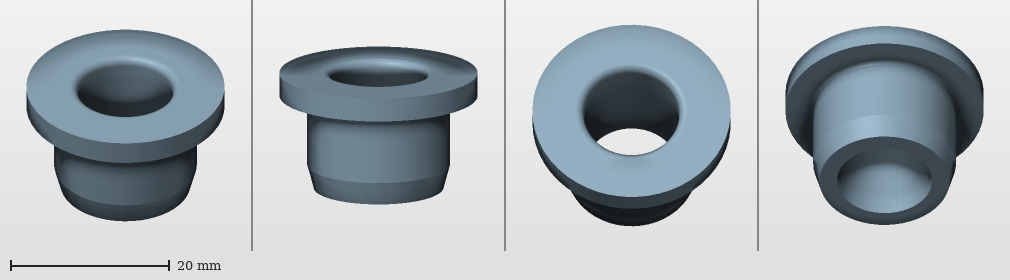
import cadquery as cq
import math

total_height = 15.0
flange_radius = 25.0 / 2
flange_thickness = 3.0
body_radius = 18.0 / 2
bore_radius = 12.0 / 2
bore_rounding = 1.0
neck_fillet = 0.5
taper_height = 3.0
taper_angle = 15.0

tip_radius = body_radius - taper_height * math.tan(math.radians(taper_angle))
flange_bottom = total_height - flange_thickness

half_section = (
    cq.Workplane("XZ")
    .moveTo(bore_radius, 0)
    .lineTo(tip_radius, 0)
    .lineTo(body_radius, taper_height)
    .lineTo(body_radius, flange_bottom - neck_fillet)
    .radiusArc((body_radius + neck_fillet, flange_bottom), neck_fillet)
    .lineTo(flange_radius, flange_bottom)
    .lineTo(flange_radius, total_height)
    .lineTo(bore_radius + bore_rounding, total_height)
    .radiusArc((bore_radius, total_height - bore_rounding), -bore_rounding)
    .close()
)

result = half_section.revolve(360, (0, 0, 0), (0, 1, 0))